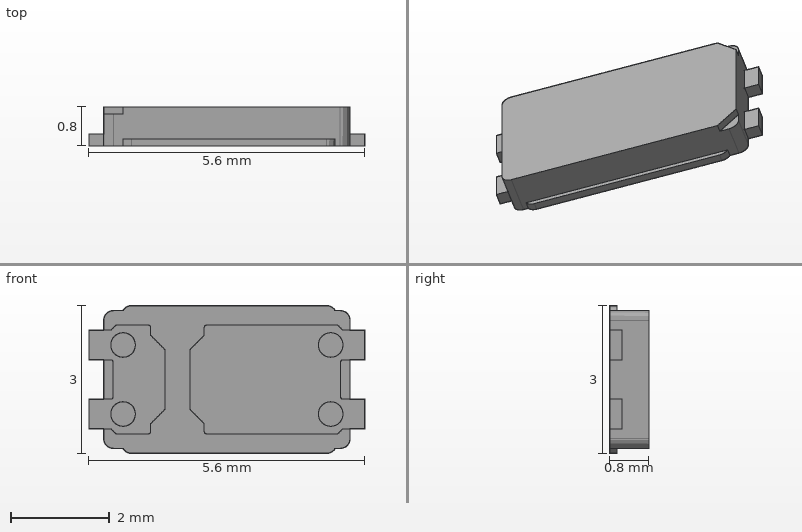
import cadquery as cq

overall_length = 5.6
depth = 0.8
body_length = 5.0
body_height = 2.8
corner_radius = 0.2

back_chamfer = 0.4
back_chamfer_depth = 0.15

flange_height = 3.0
flange_depth = 0.15
flange_left = -2.135
flange_right = 2.225

terminal_depth = 0.25
terminal_height = 2.205
left_terminal_length = 1.545
right_terminal_length = 3.55
tab_width = 0.6
tab_spacing = 1.4
notch_depth = 0.49
tab_shoulder_start = 0.45
inner_step = 0.29
inner_corner_height = 0.21
terminal_edge_radius = 0.05

terminal_half_height = terminal_height / 2
tab_outer = (tab_spacing + tab_width) / 2
tab_inner = (tab_spacing - tab_width) / 2
tab_shoulder_end = tab_shoulder_start + terminal_half_height - tab_outer

post_diameter = 0.5
post_inset = 0.695


def front_plate(sketch, plate_depth):
    """Extrude an XZ outline from the front face toward +Y."""
    return sketch.extrude(-plate_depth)


def terminal_outline(length):
    """C-shaped outline with its tab ends at X = 0 and its web toward +X."""
    step_top = terminal_half_height - inner_corner_height
    upper_half = [
        (notch_depth, tab_inner),
        (0, tab_inner),
        (0, tab_outer),
        (tab_shoulder_start, tab_outer),
        (tab_shoulder_end, terminal_half_height),
        (length - inner_step, terminal_half_height),
        (length - inner_step, step_top),
        (length, step_top - inner_step),
    ]
    lower_half = [(x, -z) for x, z in reversed(upper_half)]
    return cq.Workplane("XZ").polyline(upper_half + lower_half).close()


def round_edges_at(plate, x, half_spacing, radius):
    """Round the two Y-parallel edges at the given X and Z = +/- half_spacing."""
    for z in (half_spacing, -half_spacing):
        edge = cq.selectors.NearestToPointSelector((x, terminal_depth / 2, z))
        plate = plate.edges("|Y").edges(edge).fillet(radius)
    return plate


def make_blank(length):
    """Terminal plate without its post holes, with its tab ends at X = 0."""
    plate = front_plate(terminal_outline(length), terminal_depth)
    plate = round_edges_at(plate, notch_depth, tab_inner, terminal_edge_radius)
    plate = round_edges_at(plate, tab_shoulder_end, terminal_half_height, terminal_edge_radius)
    return round_edges_at(plate, length - inner_step, terminal_half_height, terminal_edge_radius)


def make_posts():
    post_x = overall_length / 2 - post_inset
    post_z = tab_spacing / 2
    points = [(x, z) for x in (-post_x, post_x) for z in (-post_z, post_z)]
    sketch = cq.Workplane("XZ").pushPoints(points).circle(post_diameter / 2)
    return front_plate(sketch, terminal_depth)


def make_back_corner_cut(side):
    """Triangular prism at the back -X corner, at +Z for side 1 and at -Z for side -1."""
    x = -body_length / 2
    z = side * body_height / 2
    return (
        cq.Workplane("XZ", origin=(0, depth - back_chamfer_depth, 0))
        .polyline([(x, z), (x + back_chamfer, z), (x, z - side * back_chamfer)])
        .close()
        .extrude(-back_chamfer_depth)
    )


def make_housing(terminal_blanks, posts):
    body = front_plate(cq.Workplane("XZ").rect(body_length, body_height), depth)
    body = body.edges("|Y").fillet(corner_radius)
    for side in (1, -1):
        body = body.cut(make_back_corner_cut(side))

    flange_centre = (flange_left + flange_right) / 2
    flange_sketch = (
        cq.Workplane("XZ").center(flange_centre, 0).rect(flange_right - flange_left, flange_height)
    )
    flange = front_plate(flange_sketch, flange_depth).edges("|Y").fillet(corner_radius)
    body = body.union(flange)

    for blank in terminal_blanks:
        body = body.cut(blank)
    return body.union(posts)


left_blank = make_blank(left_terminal_length).translate((-overall_length / 2, 0, 0))
right_blank = make_blank(right_terminal_length).mirror("YZ").translate((overall_length / 2, 0, 0))
terminal_blanks = [left_blank, right_blank]

posts = make_posts()
housing = make_housing(terminal_blanks, posts)
terminals = [blank.cut(posts) for blank in terminal_blanks]

result = cq.Compound.makeCompound([housing.val(), *[terminal.val() for terminal in terminals]])